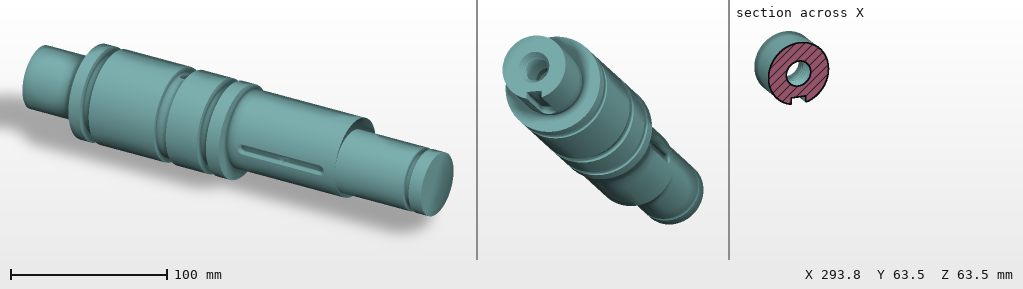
import cadquery as cq
import math

LENGTH = 293.8
JOURNAL_DIA = 42.3
BODY_DIA = 63.5
SEAL_GROOVE_DIA = 53.2
OIL_GROOVE_DIA = 57.3
UNDERCUT_DIA = 41.0
RING_GROOVE_DIA = 36.7

BODY_START = 40.0
BODY_END = 150.7
CAM_END = 230.3

UNDERCUT_START = 35.5
SEAL_GROOVE_WIDTH = 6.8
FIRST_SEAL_START = 48.2
SECOND_SEAL_START = 134.5
OIL_GROOVE_START = 102.8
OIL_GROOVE_WIDTH = 8.8
RING_GROOVE_START = 280.5
RING_GROOVE_WIDTH = 4.0

CAM_DIA = 53.0
CAM_OFFSET = (BODY_DIA - CAM_DIA) / 2
CAM_FRONT = CAM_OFFSET - CAM_DIA / 2

SLOT_LENGTH = 63.8
SLOT_WIDTH = 8.0
SLOT_FLOOR_WIDTH = 4.5
SLOT_CHAMFER_WIDTH = (SLOT_WIDTH - SLOT_FLOOR_WIDTH) / 2
SLOT_CHAMFER_DEPTH = 1.2
SLOT_DEPTH = 3.5
SLOT_MIDDLE = (BODY_END + CAM_END) / 2
OIL_HOLE_DIA = 5.3

BORE_DIA = 15.5
BORE_DEPTH = 35.3
BORE_TIP_ANGLE = 118.0
COUNTERSINK_DIA = 20.5
COUNTERSINK_ANGLE = 60.0
THREAD_PITCH = 2.5
THREAD_DEPTH = 1.32
THREAD_TURNS = 10
KEYWAY_WIDTH = 10.0
KEYWAY_FLOOR = 16.2
KEYWAY_LENGTH = 35.3


def cylinder(start, end, diameter, offset_y=0.0):
    """Solid cylinder along X between two stations."""
    return (
        cq.Workplane("YZ", origin=(start, offset_y, 0))
        .circle(diameter / 2)
        .extrude(end - start)
    )


def ring_cut(start, width, floor_diameter):
    """Ring that turns a groove down to the floor diameter."""
    return cylinder(start, start + width, 2 * BODY_DIA).cut(
        cylinder(start, start + width, floor_diameter)
    )


def shaft():
    """Stepped shaft with its eccentric section and turned grooves."""
    body = cylinder(0, LENGTH, JOURNAL_DIA)
    body = body.union(cylinder(BODY_START, BODY_END, BODY_DIA))
    body = body.union(cylinder(BODY_END, CAM_END, CAM_DIA, CAM_OFFSET))
    grooves = [
        (UNDERCUT_START, BODY_START - UNDERCUT_START, UNDERCUT_DIA),
        (FIRST_SEAL_START, SEAL_GROOVE_WIDTH, SEAL_GROOVE_DIA),
        (OIL_GROOVE_START, OIL_GROOVE_WIDTH, OIL_GROOVE_DIA),
        (SECOND_SEAL_START, SEAL_GROOVE_WIDTH, SEAL_GROOVE_DIA),
        (RING_GROOVE_START, RING_GROOVE_WIDTH, RING_GROOVE_DIA),
    ]
    for groove in grooves:
        body = body.cut(ring_cut(*groove))
    return body


def lubrication_slot():
    """Round-ended slot with a chamfer around its mouth."""
    mouth = cq.Workplane("XZ", origin=(SLOT_MIDDLE, CAM_FRONT, 0))
    taper_angle = math.degrees(math.atan2(SLOT_CHAMFER_WIDTH, SLOT_CHAMFER_DEPTH))
    chamfer = mouth.slot2D(SLOT_LENGTH, SLOT_WIDTH).extrude(-SLOT_CHAMFER_DEPTH, taper=taper_angle)
    floor_length = SLOT_LENGTH - 2 * SLOT_CHAMFER_WIDTH
    channel = mouth.slot2D(floor_length, SLOT_FLOOR_WIDTH).extrude(-SLOT_DEPTH)
    return chamfer.union(channel)


def oil_holes():
    """Radial holes reaching the shaft axis from the oil groove (+Z) and the slot (-Y)."""
    radius = OIL_HOLE_DIA / 2
    groove_middle = OIL_GROOVE_START + OIL_GROOVE_WIDTH / 2
    groove_hole = cq.Workplane("XY", origin=(groove_middle, 0, 0)).circle(radius).extrude(BODY_DIA)
    slot_hole = cq.Workplane("XZ", origin=(SLOT_MIDDLE, 0, 0)).circle(radius).extrude(BODY_DIA)
    return groove_hole.union(slot_hole)


def centre_bore():
    """Bore with a countersunk mouth, thread shaped as plain V rings, and a conical tip."""
    bore_radius = BORE_DIA / 2
    mouth_radius = COUNTERSINK_DIA / 2
    mouth_depth = (mouth_radius - bore_radius) / math.tan(math.radians(COUNTERSINK_ANGLE / 2))
    tip_depth = bore_radius / math.tan(math.radians(BORE_TIP_ANGLE / 2))
    half_section = [
        (0, 0),
        (0, mouth_radius),
        (mouth_depth, bore_radius),
    ]
    for turn in range(THREAD_TURNS):
        crest = mouth_depth + turn * THREAD_PITCH
        half_section.append((crest + THREAD_PITCH / 2, bore_radius + THREAD_DEPTH))
        half_section.append((crest + THREAD_PITCH, bore_radius))
    half_section.append((BORE_DEPTH, bore_radius))
    half_section.append((BORE_DEPTH + tip_depth, 0))
    return cq.Workplane("XY").polyline(half_section).close().revolve(360, (0, 0), (1, 0))


def keyway():
    """Flat-bottomed keyway on the -Z side, open at the -X end and round at the other."""
    end_radius = KEYWAY_WIDTH / 2
    straight = KEYWAY_LENGTH - end_radius
    return (
        cq.Workplane("XY", origin=(0, 0, -KEYWAY_FLOOR))
        .moveTo(0, -end_radius)
        .lineTo(straight, -end_radius)
        .threePointArc((KEYWAY_LENGTH, 0), (straight, end_radius))
        .lineTo(0, end_radius)
        .close()
        .extrude(KEYWAY_FLOOR - JOURNAL_DIA / 2)
    )


result = (
    shaft()
    .cut(lubrication_slot())
    .cut(oil_holes())
    .cut(centre_bore())
    .cut(keyway())
)